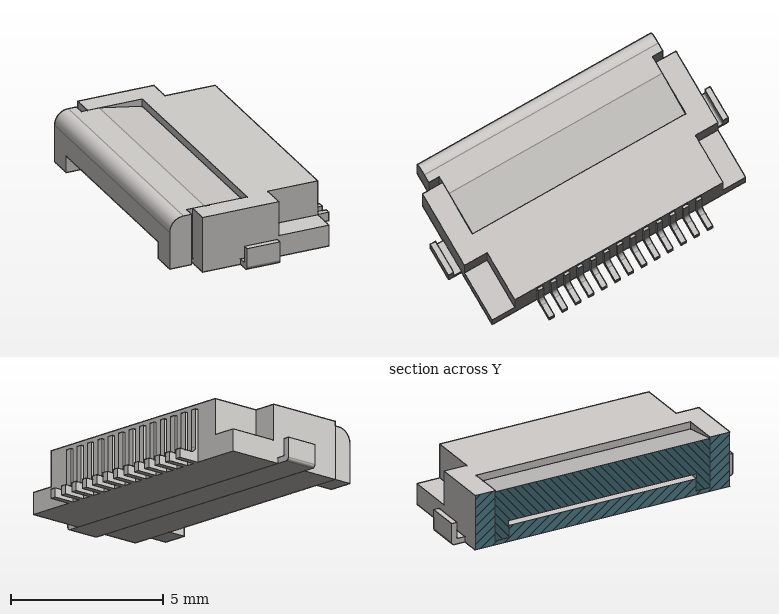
import cadquery as cq


height = 2.0
housing_width = 9.6
housing_front = 1.02
housing_rear = 5.61
corner_width = 0.86
corner_length = 1.82
corner_height = 0.76

strap_span = 10.6
strap_height = 0.8
strap_thickness = 0.2
strap_front = 2.4
strap_width = 1.2
strap_rear = strap_front + strap_width
strap_inner_radius = 0.04
strap_outer_radius = 0.11

bar_width = 8.86
bar_depth = 0.8
slider_bottom = 0.16
slider_round = 0.5
leg_width = 0.9
leg_gap_width = bar_width - 2 * leg_width
leg_gap_top = 0.76
tongue_width = 8.08
tongue_rear = 3.0
leg_rear = strap_front
slope_front = 1.44
slope_drop = 0.26

cable_slot_bottom = 0.6

contact_count = 13
contact_span = 6.0
contact_width = 0.2
contact_height = 1.82
foot_length = 0.8
foot_thickness = 0.32
stem_thickness = 0.1
contact_fillet = 0.2


def block(width, y_start, y_end, z_start, z_end, x_middle=0):
    """Box centred on x_middle, between the given Y and Z limits."""
    return (
        cq.Workplane("XY")
        .box(width, y_end - y_start, z_end - z_start, centered=(True, False, False))
        .translate((x_middle, y_start, z_start))
    )


def make_contact(x_middle):
    """L-shaped contact on the rear wall, with a fillet between stem and foot."""
    stem_rear = housing_rear + stem_thickness
    foot = block(contact_width, housing_rear, housing_rear + foot_length, 0, foot_thickness, x_middle)
    stem = block(contact_width, housing_rear, stem_rear, 0, contact_height, x_middle)
    inner_corner = cq.selectors.NearestToPointSelector((x_middle, stem_rear, foot_thickness))
    return foot.union(stem).edges(inner_corner).fillet(contact_fillet)


def make_strap():
    """U-shaped metal strap whose upturned ends stand beside the housing."""
    inner_span = strap_span - 2 * strap_thickness
    outer = block(strap_span, strap_front, strap_rear, 0, strap_height)
    outer = outer.edges("|Y and <Z").fillet(strap_outer_radius)
    inner = block(inner_span, strap_front, strap_rear, strap_thickness, strap_height)
    inner = inner.edges("|Y and <Z").fillet(strap_inner_radius)
    return outer.cut(inner)


def make_slider():
    """Front bar and a tongue reaching into the housing, on two legs."""
    bar = block(bar_width, 0, bar_depth, slider_bottom, height)
    bar = bar.edges("|X and >Z and <Y").fillet(slider_round)
    tongue = (
        cq.Workplane("YZ")
        .moveTo(bar_depth, slider_bottom)
        .lineTo(leg_rear, slider_bottom)
        .lineTo(leg_rear, leg_gap_top)
        .lineTo(tongue_rear, leg_gap_top)
        .lineTo(tongue_rear, height - slope_drop)
        .lineTo(slope_front, height)
        .lineTo(bar_depth, height)
        .close()
        .extrude(tongue_width / 2, both=True)
    )
    leg_gap = block(leg_gap_width, 0, leg_rear, slider_bottom, leg_gap_top)
    return bar.union(tongue).cut(leg_gap)


def make_housing():
    """Body with cut-back rear corners, openings for slider and cable, strap groove and contacts."""
    body = block(housing_width, housing_front, housing_rear, 0, height)

    corner_front = housing_rear - corner_length
    corner_middle = (housing_width - corner_width) / 2
    for side in (-1, 1):
        body = body.cut(
            block(corner_width, corner_front, housing_rear, corner_height, height, side * corner_middle)
        )

    mouth = block(tongue_width, housing_front, tongue_rear, leg_gap_top, height)
    cable_slot = block(leg_gap_width, housing_front, tongue_rear, cable_slot_bottom, leg_gap_top)
    leg_slots = block(tongue_width, housing_front, leg_rear, slider_bottom, leg_gap_top)
    leg_slots = leg_slots.cut(block(leg_gap_width, housing_front, leg_rear, slider_bottom, leg_gap_top))
    strap_groove = block(housing_width, strap_front, strap_rear, 0, strap_thickness)
    body = body.cut(mouth).cut(cable_slot).cut(leg_slots).cut(strap_groove)

    pitch = contact_span / (contact_count - 1)
    for index in range(contact_count):
        body = body.union(make_contact(index * pitch - contact_span / 2))
    return body


housing = make_housing()
slider = make_slider()
strap = make_strap()

result = cq.Compound.makeCompound([housing.val(), slider.val(), strap.val()])